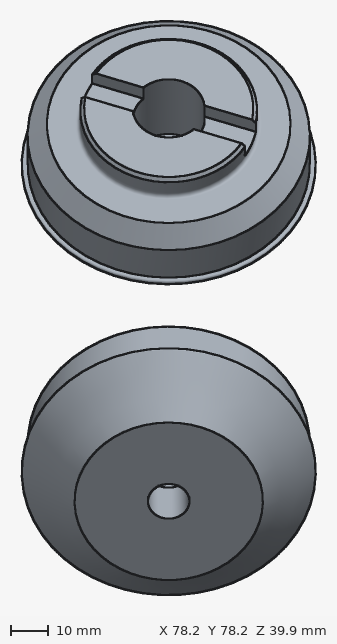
import cadquery as cq
import math

total_height = 39.9

rim_radius = 39.1
rim_round = 0.665
base_height = 15.0
through_hole_diameter = 11.0

hub_radius = 37.5
hub_shoulder_height = 32.7
hub_chamfer = 5.15
boss_diameter = 47.0
boss_radius = boss_diameter / 2
boss_chamfer = 1.0
boss_root_fillet = 1.25
bore_diameter = 19.1
slot_width = 8.2
slot_depth = 5.0


def cylinder(diameter, bottom, top):
    """Cylinder on the Z axis between two heights."""
    return cq.Workplane("XY", origin=(0, 0, bottom)).circle(diameter / 2).extrude(top - bottom)


def make_base():
    """Inverted cone whose rim round is tangent to its flat top and its flank."""
    round_center_radius = rim_radius - rim_round
    round_center_height = base_height - rim_round
    tangent_offset = rim_round * math.sqrt(0.5)
    flank_top_radius = round_center_radius + tangent_offset
    flank_top_height = round_center_height - tangent_offset
    bottom_radius = flank_top_radius - flank_top_height

    cone = (
        cq.Workplane("XZ")
        .lineTo(bottom_radius, 0)
        .lineTo(flank_top_radius, flank_top_height)
        .threePointArc((rim_radius, round_center_height), (round_center_radius, base_height))
        .lineTo(0, base_height)
        .close()
        .revolve(360, (0, 0), (0, 1))
    )
    return cone.cut(cylinder(through_hole_diameter, 0, base_height))


def make_hub():
    """Drum seated on the base; its bore ends at the base's flat top."""
    root_arc_offset = boss_root_fillet * (1 - math.sqrt(0.5))
    blank = (
        cq.Workplane("XZ")
        .moveTo(0, base_height)
        .lineTo(hub_radius, base_height)
        .lineTo(hub_radius, hub_shoulder_height - hub_chamfer)
        .lineTo(hub_radius - hub_chamfer, hub_shoulder_height)
        .lineTo(boss_radius + boss_root_fillet, hub_shoulder_height)
        .threePointArc(
            (boss_radius + root_arc_offset, hub_shoulder_height + root_arc_offset),
            (boss_radius, hub_shoulder_height + boss_root_fillet),
        )
        .lineTo(boss_radius, total_height - boss_chamfer)
        .lineTo(boss_radius - boss_chamfer, total_height)
        .lineTo(0, total_height)
        .close()
        .revolve(360, (0, 0), (0, 1))
    )
    bore = cylinder(bore_diameter, base_height, total_height)
    slot = (
        cq.Workplane("XY", origin=(0, 0, total_height - slot_depth))
        .rect(2 * hub_radius, slot_width)
        .extrude(slot_depth)
    )
    return blank.cut(bore).cut(slot)


base = make_base()
hub = make_hub()

result = cq.Compound.makeCompound([base.val(), hub.val()])